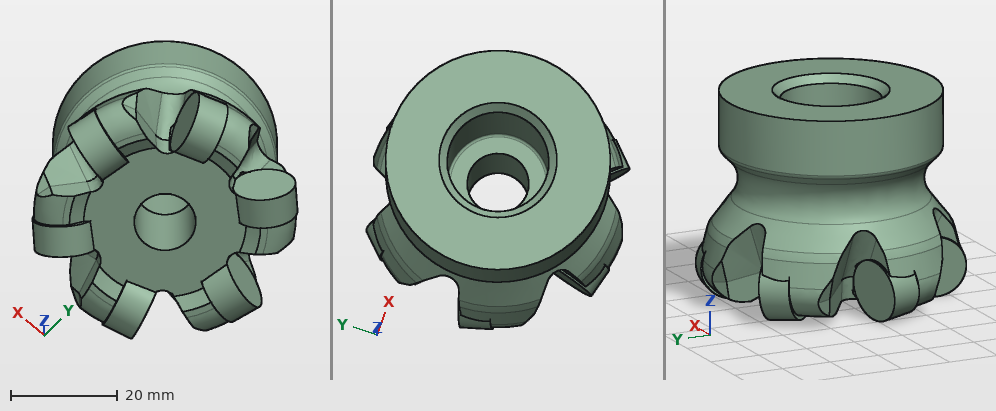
import cadquery as cq
import math

HEIGHT = 40.0
FLANGE_RADIUS = 42.1 / 2
FLANGE_EDGE_FILLET = 1.0
NECK_RADIUS = 17.5
NECK_Z = 22.95
NECK_ARC_RADIUS = 6.0
NECK_UPPER_ANGLE = 45.0
NECK_LOWER_ANGLE = 38.0
SHOULDER_FILLET = 4.55
SKIRT_MAX_RADIUS = 24.55
SKIRT_ANGLE = 14.0
RIM_Z = 1.5
RIM_ARC_RADIUS = 5.4

BORE_RADIUS = 19.05 / 2
BORE_DEPTH = HEIGHT / 2
BORE_CHAMFER = 1.5
BORE_FLOOR_FILLET = 0.5
THROUGH_RADIUS = 11.5 / 2
DISH_RADIUS = 17.9
DISH_FLOOR_RADIUS = 15.25
DISH_DEPTH = 1.55

INSERT_COUNT = 6
INSERT_RADIUS = 12.0 / 2
INSERT_LENGTH = 6.0
INSERT_X = 19.55
INSERT_Y = -0.65
INSERT_HEADING = -76.6
INSERT_DIP = 5.5
INSERT_PROUD = 0.45
POCKET_CLEARANCE_LENGTH = 0.5

FLUTE_BEND_X = -5.4
FLUTE_BEND_Y = 1.8
FLUTE_LOWER_LEAN = 8.0
FLUTE_UPPER_LEAN = 24.5
FLUTE_LOWER_LENGTH = 12.7
FLUTE_UPPER_LENGTH = 15.25
GULLET_RADIUS = 2.45
GULLET_TOP_RADIUS = 2.8
WALL_ANGLE = 58.0
WALL_TOP_ANGLE = 70.0
WALL_FRONT = 9.35
FLUTE_FRONT = 16.25
FLUTE_REACH = 22.85


def sin(degrees):
    return math.sin(math.radians(degrees))


def cos(degrees):
    return math.cos(math.radians(degrees))


def tan(degrees):
    return math.tan(math.radians(degrees))


def at_height(z):
    """Selects the horizontal circular edge at height z."""
    reach = 2 * SKIRT_MAX_RADIUS
    margin = 0.05
    lower_corner = (-reach, -reach, z - margin)
    upper_corner = (reach, reach, z + margin)
    return cq.selectors.BoxSelector(lower_corner, upper_corner, boundingbox=True)


def make_blank():
    """The turned body, before the bores, flutes and pockets are cut."""
    neck_center = NECK_RADIUS + NECK_ARC_RADIUS
    neck_top_r = neck_center - NECK_ARC_RADIUS * cos(NECK_UPPER_ANGLE)
    neck_top_z = NECK_Z + NECK_ARC_RADIUS * sin(NECK_UPPER_ANGLE)
    neck_bottom_r = neck_center - NECK_ARC_RADIUS * cos(NECK_LOWER_ANGLE)
    neck_bottom_z = NECK_Z - NECK_ARC_RADIUS * sin(NECK_LOWER_ANGLE)
    flange_z = neck_top_z + (FLANGE_RADIUS - neck_top_r) / tan(NECK_UPPER_ANGLE)

    rim_center_r = SKIRT_MAX_RADIUS - RIM_ARC_RADIUS
    rim_center_z = RIM_Z + RIM_ARC_RADIUS
    skirt_r = rim_center_r + RIM_ARC_RADIUS * cos(SKIRT_ANGLE)
    skirt_z = rim_center_z + RIM_ARC_RADIUS * sin(SKIRT_ANGLE)

    cone_r_at_skirt_z = neck_bottom_r + (neck_bottom_z - skirt_z) * tan(NECK_LOWER_ANGLE)
    shoulder_rise = (cone_r_at_skirt_z - skirt_r) / (tan(NECK_LOWER_ANGLE) - tan(SKIRT_ANGLE))
    shoulder_r = skirt_r - shoulder_rise * tan(SKIRT_ANGLE)
    shoulder_z = skirt_z + shoulder_rise

    blank = (
        cq.Workplane("XZ")
        .moveTo(0, RIM_Z)
        .lineTo(rim_center_r, RIM_Z)
        .threePointArc((SKIRT_MAX_RADIUS, rim_center_z), (skirt_r, skirt_z))
        .lineTo(shoulder_r, shoulder_z)
        .lineTo(neck_bottom_r, neck_bottom_z)
        .threePointArc((NECK_RADIUS, NECK_Z), (neck_top_r, neck_top_z))
        .lineTo(FLANGE_RADIUS, flange_z)
        .lineTo(FLANGE_RADIUS, HEIGHT)
        .lineTo(0, HEIGHT)
        .close()
        .revolve(360, (0, 0, 0), (0, 1, 0))
    )
    blank = blank.edges(at_height(flange_z)).fillet(FLANGE_EDGE_FILLET)
    return blank.edges(at_height(shoulder_z)).fillet(SHOULDER_FILLET)


def make_bores():
    """Chamfered blind bore from the top, and the through hole in its floor."""
    bore = cq.Workplane("XY", origin=(0, 0, HEIGHT - BORE_DEPTH)).circle(BORE_RADIUS).extrude(BORE_DEPTH)
    bore = bore.faces("<Z").edges().fillet(BORE_FLOOR_FILLET)
    mouth_base = cq.Vector(0, 0, HEIGHT - BORE_CHAMFER)
    mouth = cq.Solid.makeCone(BORE_RADIUS, BORE_RADIUS + BORE_CHAMFER, BORE_CHAMFER, mouth_base)
    through = cq.Workplane("XY").circle(THROUGH_RADIUS).extrude(HEIGHT)
    return bore.union(cq.Workplane(mouth)).union(through)


def make_dish():
    """Shallow conical recess in the lower face."""
    base = cq.Vector(0, 0, RIM_Z)
    return cq.Workplane(cq.Solid.makeCone(DISH_RADIUS, DISH_FLOOR_RADIUS, DISH_DEPTH, base))


def insert_plane():
    """Plane of the first insert's face; the insert's lowest point is at Z = 0."""
    normal = cq.Vector(
        cos(INSERT_HEADING) * cos(INSERT_DIP),
        sin(INSERT_HEADING) * cos(INSERT_DIP),
        -sin(INSERT_DIP),
    )
    outward = cq.Vector(-sin(INSERT_HEADING), cos(INSERT_HEADING), 0)
    center = cq.Vector(INSERT_X, INSERT_Y, INSERT_RADIUS * cos(INSERT_DIP))
    return cq.Plane(origin=center, xDir=outward, normal=normal)


def make_insert():
    return cq.Workplane(insert_plane()).circle(INSERT_RADIUS).extrude(-INSERT_LENGTH)


def make_pocket():
    """Room for the insert, run forward through the curved root of the flute."""
    front = cq.Workplane(insert_plane()).circle(INSERT_RADIUS).extrude(POCKET_CLEARANCE_LENGTH)
    return make_insert().union(front)


def flute_section(plane, root_radius, wall_angle):
    """Closed flute outline: plane X runs outward along the tooth face, plane Y towards the tooth."""
    root_x = root_radius * sin(wall_angle)
    root_y = INSERT_PROUD - root_radius
    half_turn = (180 - wall_angle) / 2
    arc_middle = (root_x - root_radius * sin(half_turn), root_y + root_radius * cos(half_turn))
    wall_start_y = root_y - root_radius * cos(wall_angle)
    wall_end_x = (WALL_FRONT + wall_start_y) / tan(wall_angle)
    outline = (
        cq.Workplane(plane)
        .moveTo(FLUTE_REACH, INSERT_PROUD)
        .lineTo(root_x, INSERT_PROUD)
        .threePointArc(arc_middle, (0, wall_start_y))
        .lineTo(wall_end_x, -WALL_FRONT)
        .lineTo(wall_end_x, -FLUTE_FRONT)
        .lineTo(FLUTE_REACH, -FLUTE_FRONT)
        .close()
    )
    return outline.val()


def make_flute():
    """Flute in front of the first insert: a straight lower run, bent outward above."""
    face = insert_plane()

    def leaning(lean):
        return face.xDir * sin(lean) + face.yDir * cos(lean)

    bend_lean = (FLUTE_LOWER_LEAN + FLUTE_UPPER_LEAN) / 2
    bend_normal = leaning(bend_lean)
    across = face.xDir * cos(bend_lean) - face.yDir * sin(bend_lean)
    bend = face.toWorldCoords((FLUTE_BEND_X, FLUTE_BEND_Y, 0))
    top = bend + leaning(FLUTE_UPPER_LEAN) * FLUTE_UPPER_LENGTH

    bend_section = flute_section(cq.Plane(bend, across, bend_normal), GULLET_RADIUS, WALL_ANGLE)
    top_section = flute_section(cq.Plane(top, across, bend_normal), GULLET_TOP_RADIUS, WALL_TOP_ANGLE)
    lower = cq.Solid.extrudeLinear(bend_section, [], leaning(FLUTE_LOWER_LEAN) * -FLUTE_LOWER_LENGTH)
    upper = cq.Solid.makeLoft([bend_section, top_section], True)
    return cq.Workplane(lower).union(cq.Workplane(upper))


def copies(shape):
    """The shape repeated evenly about Z, once per insert."""
    step = 360 / INSERT_COUNT
    return [shape.rotate((0, 0, 0), (0, 0, 1), index * step) for index in range(INSERT_COUNT)]


body = make_blank().cut(make_bores()).cut(make_dish())
for flute in copies(make_flute()):
    body = body.cut(flute)
for pocket in copies(make_pocket()):
    body = body.cut(pocket)

inserts = copies(make_insert())

result = cq.Compound.makeCompound([body.solids().val(), *[insert.val() for insert in inserts]])